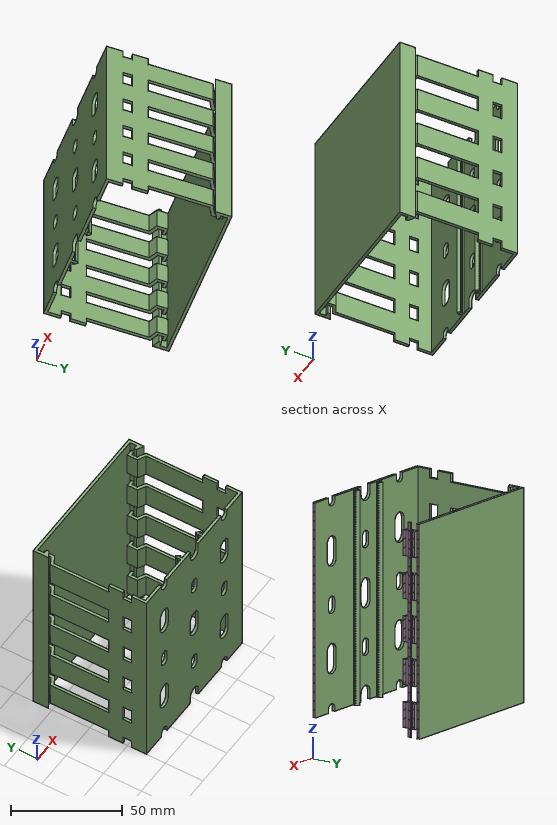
import cadquery as cq

width = 80.0
depth = 60.0
length = 100.0
half_width = width / 2
wall = 1.5

cover_flank = 8.0
lip_reach = 3.5
lip_shelf_y = 55.2
ramp_slope = 0.53

hook_top_y = 57.5
hook_tip_inset = 2.0
hook_inset = 5.5
ramp_start_y = 51.0
ramp_end_y = 52.1

rib_x = 8.5
rib_stem = 1.2
rib_head = 2.6
rib_barb_y = 2.5
rib_barb_edge = 0.5
rib_neck_y = 3.1
rib_tip_y = 4.7

slot_pitch = 25.0
large_slot = (6.5, 14.0)
small_slot = (4.5, 8.0)

finger_pitch = 20.0
opening_height = 8.0
finger_root_y = 20.0
window_low_y = 8.0
window_high_y = 12.5


def extrude_outline(points):
    """Extrude an XY outline over the full length."""
    return cq.Workplane("XY").polyline(points).close().extrude(length)


def mirrored_outline(half):
    """Complete the outline of the -X half with its mirror image about the YZ plane."""
    return half + [(-x, y) for x, y in reversed(half)]


def wall_outline(inset_points):
    """Full outline from points given as inset from the -X outer side, and Y."""
    return mirrored_outline([(inset - half_width, y) for inset, y in inset_points])


def make_trough():
    """U-shaped channel with hooked side walls."""
    hook_inner = hook_inset - wall
    half = [
        (0, 0),
        (0, ramp_start_y),
        (hook_inner, ramp_start_y + hook_inner * ramp_slope),
        (hook_inner, hook_top_y - wall),
        (hook_tip_inset, hook_top_y - wall),
        (hook_tip_inset, hook_top_y),
        (hook_inset, hook_top_y),
        (hook_inset, ramp_end_y),
        (wall, ramp_end_y - (hook_inset - wall) * ramp_slope),
        (wall, wall),
    ]
    return extrude_outline(wall_outline(half))


def make_rib(x):
    """Arrow-headed rib standing on the floor."""
    half = [
        (-rib_stem / 2, wall),
        (-rib_stem / 2, rib_neck_y),
        (-rib_head / 2, rib_barb_y),
        (-rib_head / 2, rib_barb_y + rib_barb_edge),
    ]
    outline = mirrored_outline(half)
    outline.insert(len(half), (0, rib_tip_y))
    return extrude_outline([(x + offset, y) for offset, y in outline])


def cut_side_openings(body):
    """Cut the gaps between the wall fingers and the windows below them."""
    for row in range(round(length / finger_pitch) + 1):
        for low, high in ((finger_root_y, depth), (window_low_y, window_high_y)):
            cutter = cq.Workplane("XY").box(width, high - low, opening_height, centered=(True, False, True))
            cutter = cutter.translate((0, low, row * finger_pitch))
            body = body.cut(cutter)
    return body


def cut_mounting_slots(body):
    """Cut large and small slots in alternating places; the end rows are cut in half."""
    for row in range(round(length / slot_pitch) + 1):
        for column in (-1, 0, 1):
            slot_width, slot_length = large_slot if (row + column) % 2 == 0 else small_slot
            cutter = (
                cq.Workplane("XZ")
                .center(column * slot_pitch, row * slot_pitch)
                .slot2D(slot_length, slot_width, 90)
                .extrude(-wall)
            )
            body = body.cut(cutter)
    return body


def make_body():
    """Slotted trough with its floor ribs."""
    body = make_trough()
    body = cut_side_openings(body)
    for side in (-1, 1):
        body = body.union(make_rib(side * rib_x))
    return cut_mounting_slots(body)


def make_cover():
    """Lid with inward lips that snap behind the hooks."""
    edge_y = depth - cover_flank
    half = [
        (0, depth),
        (0, edge_y),
        (lip_reach, edge_y + lip_reach * ramp_slope),
        (lip_reach, lip_shelf_y),
        (wall, lip_shelf_y),
        (wall, depth - wall),
    ]
    return extrude_outline(wall_outline(half))


body = make_body()
cover = make_cover()

result = cq.Compound.makeCompound([body.val(), cover.val()])